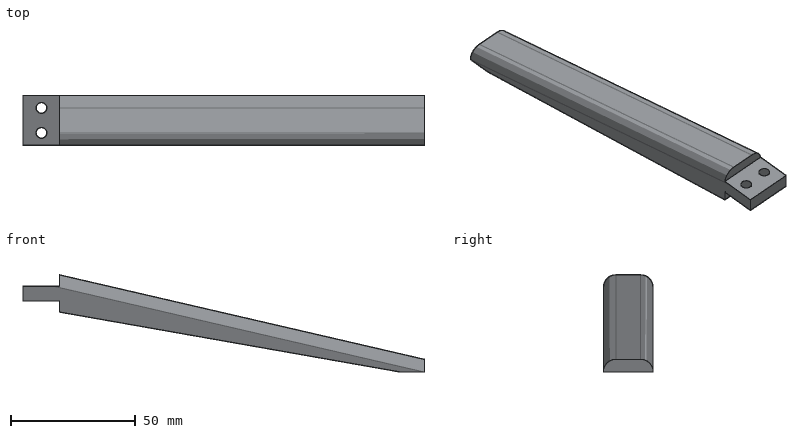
import cadquery as cq

length = 161.1
width = 20.0
height = 39.0

tab_length = 14.7
tab_thickness = 6.0
tab_bottom = 28.4
tab_top = tab_bottom + tab_thickness
hole_diameter = 4.2
hole_spacing = 10.0
hole_x = 7.5

arm_root_bottom = 24.0
tip_height = 5.1
foot_length = 10.0
edge_radius = 5.0

tolerance = 1e-6


def side_profile():
    """Closed XZ outline of the tab and the arm that slopes down to the tip."""
    return (
        cq.Workplane("XZ", origin=(0, width / 2, 0))
        .moveTo(0, tab_bottom)
        .lineTo(0, tab_top)
        .lineTo(tab_length, tab_top)
        .lineTo(tab_length, height)
        .lineTo(length, tip_height)
        .lineTo(length, 0)
        .lineTo(length - foot_length, 0)
        .lineTo(tab_length, arm_root_bottom)
        .lineTo(tab_length, tab_bottom)
        .close()
    )


def is_top_long_edge(edge):
    """True for the two sloping edges along the sides of the arm's top face."""
    middle = edge.Center()
    middle_height = (height + tip_height) / 2
    on_side = abs(abs(middle.y) - width / 2) < tolerance
    return on_side and abs(middle.z - middle_height) < tolerance


def mounting_holes():
    """Two vertical pins that cut the screw holes through the tab."""
    return (
        cq.Workplane("XY", origin=(hole_x, 0, tab_bottom))
        .rarray(1, hole_spacing, 1, 2)
        .circle(hole_diameter / 2)
        .extrude(tab_thickness)
    )


body = side_profile().extrude(width)
top_edges = [edge for edge in body.edges().vals() if is_top_long_edge(edge)]
arm = body.newObject(top_edges).fillet(edge_radius)
result = arm.cut(mounting_holes())